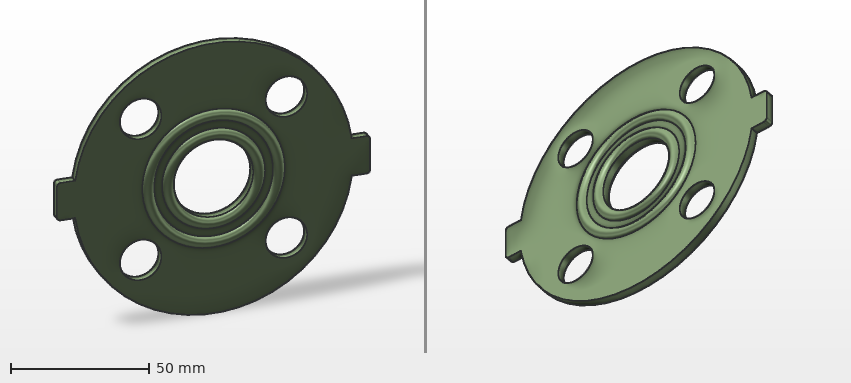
import cadquery as cq

plate_diameter = 107.6
plate_thickness = 3.3
bore_diameter = 30.5

tab_span = 120.6
tab_width = 15.0
tab_corner_radius = 1.5

bolt_hole_count = 4
bolt_hole_diameter = 15.9
bolt_circle_diameter = 79.4

overall_thickness = 6.3
bead_width = 4.6
outer_bead_diameter = 54.9
bead_height = (overall_thickness - plate_thickness) / 2
bead_inner_radii = (bore_diameter / 2, outer_bead_diameter / 2 - bead_width)


def plate_sketch_plane():
    """Workplane on the -X face of the plate."""
    return cq.Workplane("YZ", origin=(-plate_thickness / 2, 0, 0))


def make_plate():
    """Disc with two tabs, the bore and the bolt holes."""
    disc = plate_sketch_plane().circle(plate_diameter / 2).extrude(plate_thickness)
    tabs = (
        plate_sketch_plane()
        .rect(tab_span, tab_width)
        .extrude(plate_thickness)
        .edges("|X")
        .fillet(tab_corner_radius)
    )
    bore = plate_sketch_plane().circle(bore_diameter / 2).extrude(plate_thickness)
    bolt_holes = (
        plate_sketch_plane()
        .polarArray(bolt_circle_diameter / 2, 180 / bolt_hole_count, 360, bolt_hole_count)
        .circle(bolt_hole_diameter / 2)
        .extrude(plate_thickness)
    )
    return disc.union(tabs).cut(bore).cut(bolt_holes)


def make_bead_pair(inner_radius):
    """Ring through the plate whose two faces are domed by circular arcs."""
    face = plate_thickness / 2
    crest = face + bead_height
    middle_radius = inner_radius + bead_width / 2
    outer_radius = inner_radius + bead_width
    return (
        cq.Workplane("XY")
        .moveTo(-face, inner_radius)
        .lineTo(face, inner_radius)
        .threePointArc((crest, middle_radius), (face, outer_radius))
        .lineTo(-face, outer_radius)
        .threePointArc((-crest, middle_radius), (-face, inner_radius))
        .close()
        .revolve(360, (0, 0, 0), (1, 0, 0))
    )


result = make_plate()
for bead_inner_radius in bead_inner_radii:
    result = result.union(make_bead_pair(bead_inner_radius))